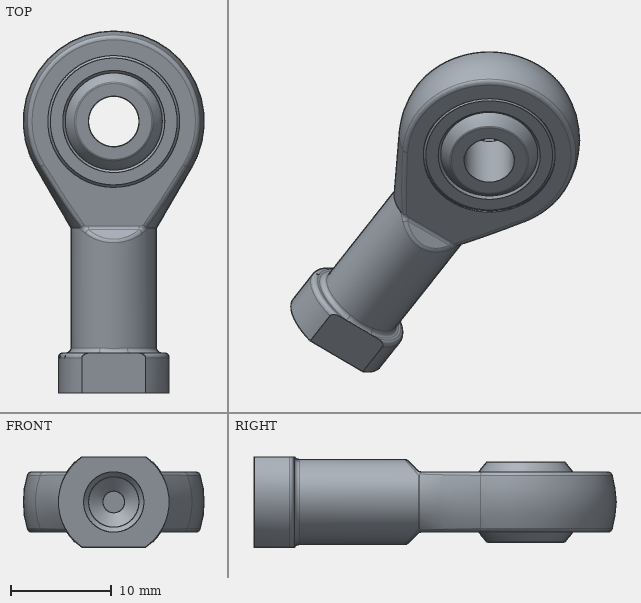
import cadquery as cq
import math


eye_radius = 9.0
eye_thickness = 6.0
shank_radius = 4.25
shank_end_y = -27.0
flange_radius = 5.5
flange_length = 4.0
across_flats = 9.0
edge_round = 0.5
neck_end_y = -10.6

bore_diameter = 5.0
bore_depth = 12.0
bore_chamfer = 0.5
bore_tip_diameter = 2.15
drill_point_angle = 118.0

ball_radius = 11.11 / 2
ball_height = 8.0
ball_hole_diameter = 5.0
ball_edge_round = 0.2
race_radius = 13.11 / 2
race_chamfer = 0.25

half_eye = eye_thickness / 2
flange_top_y = shank_end_y + flange_length


def neck_tangent_angle():
    """Angle below the X axis where the neck cone leaves the eye sphere."""
    end_distance = math.hypot(shank_radius, neck_end_y)
    end_angle = math.atan2(-neck_end_y, shank_radius)
    return end_angle - math.acos(eye_radius / end_distance)


neck_start_y = -eye_radius * math.sin(neck_tangent_angle())
neck_start_radius = eye_radius * math.cos(neck_tangent_angle())


def make_eye():
    """Slice of a sphere about Z, ending at the plane where the neck cone takes over."""
    rim_radius = math.sqrt(eye_radius**2 - half_eye**2)
    slice_of_sphere = (
        cq.Workplane("YZ")
        .moveTo(0, -half_eye)
        .lineTo(-rim_radius, -half_eye)
        .threePointArc((-eye_radius, 0), (-rim_radius, half_eye))
        .lineTo(0, half_eye)
        .close()
        .revolve(360, (0, 0, 0), (0, 1, 0))
    )
    reach = 2 * eye_radius
    kept_side = (
        cq.Workplane("XZ", origin=(0, neck_start_y, 0))
        .rect(2 * reach, 2 * reach)
        .extrude(-2 * reach)
    )
    return slice_of_sphere.intersect(kept_side)


def make_turned_shank():
    """Neck cone, shank and round flange with a rounded rim, turned about the Y axis."""
    arc_offset = edge_round * math.sqrt(0.5)
    rim = (flange_radius - edge_round, flange_top_y - edge_round)
    return (
        cq.Workplane("XY")
        .moveTo(0, neck_start_y)
        .lineTo(neck_start_radius, neck_start_y)
        .lineTo(shank_radius, neck_end_y)
        .lineTo(shank_radius, flange_top_y)
        .lineTo(rim[0], flange_top_y)
        .threePointArc((rim[0] + arc_offset, rim[1] + arc_offset), (flange_radius, rim[1]))
        .lineTo(flange_radius, shank_end_y)
        .lineTo(0, shank_end_y)
        .close()
        .revolve(360, (0, 0, 0), (0, 1, 0))
    )


def make_eye_relief(side):
    """Block above (side 1) or below (side -1) the eye, ending in the 45 degree ramp."""
    reach = 2 * eye_radius
    relief_height = eye_radius - half_eye
    return (
        cq.Workplane("YZ")
        .moveTo(reach, side * half_eye)
        .lineTo(neck_end_y, side * half_eye)
        .lineTo(neck_end_y - relief_height, side * eye_radius)
        .lineTo(reach, side * eye_radius)
        .close()
        .extrude(reach, both=True)
    )


def make_shank():
    """Turned shank with two flats on the flange, a rounded flange root and both eye reliefs."""
    flats = cq.Workplane("XY").box(4 * eye_radius, 4 * abs(shank_end_y), across_flats)
    root_edge = cq.selectors.NearestToPointSelector((0, flange_top_y, 0))
    shank = make_turned_shank().intersect(flats)
    shank = shank.edges(root_edge).fillet(edge_round)
    for side in (1, -1):
        shank = shank.cut(make_eye_relief(side))
    return shank


def make_bore():
    """Blind bore with an entry chamfer and a blunt drill point."""
    bore_radius = bore_diameter / 2
    tip_radius = bore_tip_diameter / 2
    bottom_y = shank_end_y + bore_depth
    tip_y = bottom_y + (bore_radius - tip_radius) / math.tan(math.radians(drill_point_angle / 2))
    return (
        cq.Workplane("XY")
        .moveTo(0, shank_end_y)
        .lineTo(bore_radius + bore_chamfer, shank_end_y)
        .lineTo(bore_radius, shank_end_y + bore_chamfer)
        .lineTo(bore_radius, bottom_y)
        .lineTo(tip_radius, tip_y)
        .lineTo(0, tip_y)
        .close()
        .revolve(360, (0, 0, 0), (0, 1, 0))
    )


def eye_face_edges(body, side):
    """Outline of one flat eye face, its border with the ramp, and the ramp's outer edge."""
    tolerance = 0.01
    face_z = side * half_eye
    shank_z = side * (shank_radius + tolerance)
    around_face = cq.selectors.BoxSelector(
        (-eye_radius, -2 * eye_radius, face_z - side * tolerance),
        (eye_radius, eye_radius, shank_z),
    )
    return body.edges(around_face)


def make_housing():
    """Eye and shank in one piece, with rounded eye edges, the bore and the race seat."""
    body = make_eye().union(make_shank()).clean()
    for side in (1, -1):
        body = eye_face_edges(body, side).fillet(edge_round)
    body = body.cut(make_bore())
    return body.cut(cq.Workplane("XY").circle(race_radius).extrude(half_eye, both=True))


def make_race():
    """Bearing ring with chamfered rims and a spherical seat for the ball."""
    seat_half_height = half_eye - race_chamfer
    mouth_radius = math.sqrt(ball_radius**2 - seat_half_height**2)
    return (
        cq.Workplane("XZ")
        .moveTo(mouth_radius, -seat_half_height)
        .threePointArc((ball_radius, 0), (mouth_radius, seat_half_height))
        .lineTo(mouth_radius + race_chamfer, half_eye)
        .lineTo(race_radius - race_chamfer, half_eye)
        .lineTo(race_radius, seat_half_height)
        .lineTo(race_radius, -seat_half_height)
        .lineTo(race_radius - race_chamfer, -half_eye)
        .lineTo(mouth_radius + race_chamfer, -half_eye)
        .close()
        .revolve(360, (0, 0, 0), (0, 1, 0))
    )


def make_ball():
    """Ball cut flat at both ends, with rounded face edges and a through hole along Z."""
    face_radius = math.sqrt(ball_radius**2 - (ball_height / 2) ** 2)
    hole_radius = ball_hole_diameter / 2
    half_height = ball_height / 2
    return (
        cq.Workplane("XZ")
        .moveTo(hole_radius, -half_height)
        .lineTo(face_radius, -half_height)
        .threePointArc((ball_radius, 0), (face_radius, half_height))
        .lineTo(hole_radius, half_height)
        .close()
        .revolve(360, (0, 0, 0), (0, 1, 0))
        .faces(">Z or <Z")
        .edges(cq.selectors.RadiusNthSelector(-1))
        .fillet(ball_edge_round)
    )


housing = make_housing()
race = make_race()
ball = make_ball()
result = cq.Compound.makeCompound([housing.val(), race.val(), ball.val()])